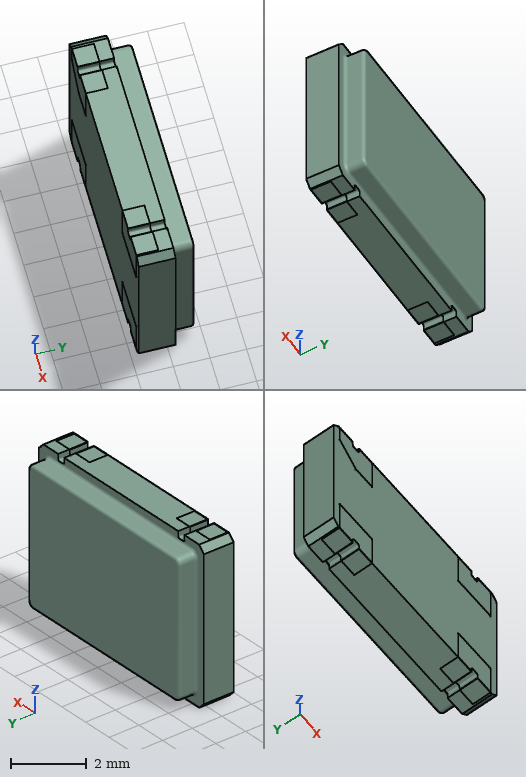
import cadquery as cq

length = 7.0
width = 5.0
base_height = 1.0
corner_chamfer = 0.2

lid_height = 0.6
lid_margin = 0.3
lid_corner_radius = 0.2
lid_edge_radius = 0.1

notch_width = 0.26
notch_depth = 0.2
notch_corner_radius = 0.0525

pad_spacing = 5.08
pad_length = 1.4
pad_width = 1.175
pad_depth = 0.6
pad_edge_inset = 0.02
index_cut_x = 0.7
index_cut_z = 0.6

overall_height = base_height + lid_height
mount_face_y = -overall_height / 2
base_top_y = mount_face_y + base_height
edge_z = width / 2
pad_x = pad_spacing / 2
pad_outer_z = edge_z - pad_edge_inset
corners = [(side_x, side_z) for side_x in (-1, 1) for side_z in (-1, 1)]
index_corner = (-1, 1)


def block(size_x, height, size_z, center_x, center_z, start_y):
    """Box that rises by height towards +Y from start_y."""
    return (
        cq.Workplane("XY")
        .box(size_x, height, size_z, centered=(True, False, True))
        .translate((center_x, start_y, center_z))
    )


def at_corner(shape, side_x, side_z):
    """Mirror a shape made for the +X +Z corner into the chosen corner."""
    if side_x < 0:
        shape = shape.mirror("YZ")
    if side_z < 0:
        shape = shape.mirror("XY")
    return shape


def make_notch():
    """Round-cornered notch through the base, into the +Z edge at the +X pad."""
    notch = block(notch_width, base_height, 2 * notch_depth, pad_x, edge_z, mount_face_y)
    return notch.edges("|Y").fillet(notch_corner_radius)


def make_pad(side_x, side_z):
    """Pad sunk into the mounting face and opened by the notch at its outer edge."""
    pad_z = pad_outer_z - pad_width / 2
    pad = block(pad_length, pad_depth, pad_width, pad_x, pad_z, mount_face_y)
    return at_corner(pad.cut(make_notch()), side_x, side_z)


def cut_index_corner(pad):
    """Slant one corner of the -X +Z pad to mark terminal one."""
    outer_x = -pad_x - pad_length / 2
    inner_z = pad_outer_z - pad_width
    corner = (
        cq.Workplane("XZ", origin=(0, mount_face_y, 0))
        .moveTo(outer_x, inner_z)
        .lineTo(outer_x + index_cut_x, inner_z)
        .lineTo(outer_x, inner_z + index_cut_z)
        .close()
        .extrude(-pad_depth)
    )
    return pad.cut(corner)


def make_lid():
    """Lid with rounded corners and a rounded upper edge."""
    lid_length = length - 2 * lid_margin
    lid_width = width - 2 * lid_margin
    lid = block(lid_length, lid_height, lid_width, 0, 0, base_top_y)
    return lid.edges("|Y").fillet(lid_corner_radius).faces(">Y").edges().fillet(lid_edge_radius)


def make_housing(pads):
    """Base and lid in one piece, with a flared lid foot, the notches and the pad recesses."""
    base = block(length, base_height, width, 0, 0, mount_face_y)
    base = base.edges("|Y").chamfer(corner_chamfer)
    housing = base.union(make_lid())
    foot_x = length / 2 - lid_margin / 2
    foot_z = edge_z - lid_margin / 2
    foot = cq.selectors.BoxSelector(
        (-foot_x, base_top_y - lid_edge_radius / 2, -foot_z),
        (foot_x, base_top_y + lid_edge_radius / 2, foot_z),
        boundingbox=True,
    )
    housing = housing.edges(foot).fillet(lid_edge_radius)
    for side_x, side_z in corners:
        housing = housing.cut(at_corner(make_notch(), side_x, side_z))
    for pad in pads:
        housing = housing.cut(pad)
    return housing


pads = []
for side_x, side_z in corners:
    pad = make_pad(side_x, side_z)
    if (side_x, side_z) == index_corner:
        pad = cut_index_corner(pad)
    pads.append(pad)

housing = make_housing(pads)

result = cq.Compound.makeCompound([housing.val(), *[pad.val() for pad in pads]])